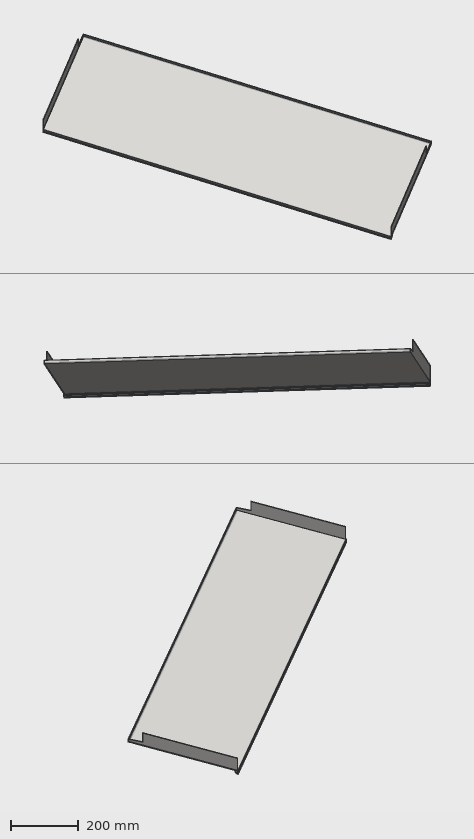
import cadquery as cq
import math

LENGTH = 1103.0
DEPTH = 341.0
HEIGHT = 87.0

SHEET = 1.5
SLOPE = math.tan(math.radians(5))
TRAY_BACK_Z = -0.5
BACK_LIP_TOP = 8.3
BEND_RADIUS = 2.0

WALL_FRONT_SETBACK = 2.0
WALL_BACK_SETBACK = 45.0

HOOK_WIDTH = 10.0
HOOK_RISE = 5.0
RETURN_HEIGHT = 4.0

BACK_Y = DEPTH / 2
FRONT_Y = -DEPTH / 2
TOP_Z = HEIGHT / 2
BOTTOM_Z = -HEIGHT / 2


def tray_z(y):
    """Height of the tray's upper face at a given depth position."""
    return TRAY_BACK_Z - (BACK_Y - y) * SLOPE


def extrude_along_x(points, start, length):
    """Extrude a closed (y, z) outline along X."""
    return cq.Workplane("YZ", origin=(start, 0, 0)).polyline(points).close().extrude(length)


def make_tray():
    """Sloping floor with its upright lip along the back."""
    lip_front_y = BACK_Y - SHEET
    outline = [
        (FRONT_Y, tray_z(FRONT_Y)),
        (lip_front_y, tray_z(lip_front_y)),
        (lip_front_y, BACK_LIP_TOP),
        (BACK_Y, BACK_LIP_TOP),
        (BACK_Y, tray_z(BACK_Y) - SHEET),
        (FRONT_Y, tray_z(FRONT_Y) - SHEET),
    ]
    return extrude_along_x(outline, -LENGTH / 2, LENGTH)


def make_side_wall(start):
    """Side wall whose top runs parallel to the tray, stepped down at the back."""
    front_y = FRONT_Y + WALL_FRONT_SETBACK
    step_y = BACK_Y - WALL_BACK_SETBACK
    outline = [
        (front_y, tray_z(front_y) - SHEET),
        (front_y, TOP_Z - (step_y - front_y) * SLOPE),
        (step_y, TOP_Z),
        (step_y, BACK_LIP_TOP),
        (BACK_Y, BACK_LIP_TOP),
        (BACK_Y, tray_z(BACK_Y) - SHEET),
    ]
    return extrude_along_x(outline, start, SHEET)


def make_front_hook():
    """Front edge folded down, then back and up beneath the tray."""
    back_y = FRONT_Y + HOOK_WIDTH
    low_z = BOTTOM_Z + HOOK_RISE
    inner_front_y = FRONT_Y + SHEET
    inner_back_y = back_y - SHEET
    outline = [
        (FRONT_Y, tray_z(FRONT_Y)),
        (FRONT_Y, BOTTOM_Z),
        (inner_front_y, BOTTOM_Z),
        (back_y, low_z),
        (back_y, low_z + RETURN_HEIGHT),
        (inner_back_y, low_z + RETURN_HEIGHT),
        (inner_back_y, low_z + SHEET),
        (inner_front_y, BOTTOM_Z + 2 * SHEET),
        (inner_front_y, tray_z(inner_front_y)),
    ]
    return extrude_along_x(outline, -LENGTH / 2, LENGTH)


def edge_at(y, z):
    """Selector for the lengthwise edge through a given (y, z) point."""
    return cq.selectors.NearestToPointSelector((0, y, z))


def round_bends(sheet):
    """Round the inside of the back bend and the outside of the front bend."""
    lip_front_y = BACK_Y - SHEET
    sheet = sheet.edges(edge_at(lip_front_y, tray_z(lip_front_y))).fillet(BEND_RADIUS)
    return sheet.edges(edge_at(FRONT_Y, tray_z(FRONT_Y))).fillet(BEND_RADIUS)


result = round_bends(make_tray().union(make_front_hook()))
for wall_start in (-LENGTH / 2, LENGTH / 2 - SHEET):
    result = result.union(make_side_wall(wall_start))